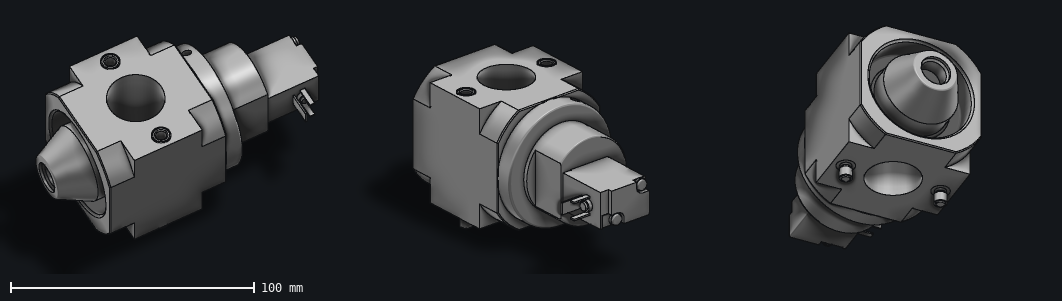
import cadquery as cq
import math

OVERALL_LENGTH = 122.0

BLOCK_SIZE = 55.0
BLOCK_CHAMFER = 0.5
PORT_FACE_WIDTH = 32.0
PASSAGE_DIAMETER = 24.0

RECESS_DIAMETER = 46.4
RECESS_DEPTH = 11.0
RECESS_FILLET = 1.0
CONE_BASE_DIAMETER = 33.8
CONE_ROOT_FILLET = 1.1
CONE_TIP_DIAMETER = 19.5
CONE_TIP_FILLET = 0.9
CONE_PROJECTION = 14.4
CONE_START_DEPTH = 0.4
TIP_BORE_DIAMETER = 11.5
TIP_BORE_DEPTH = 8.5
TIP_MOUTH_DIAMETER = 13.3
TIP_MOUTH_DEPTH = 1.3

PIN_SPACING = 43.0
PIN_DIAMETER = 8.0
PIN_TOP_DIAMETER = 7.0
PIN_SOCKET_DIAMETER = 4.5
PIN_SOCKET_MOUTH = 5.5
PIN_SOCKET_DEPTH = 6.1
PIN_SOCKET_ANGLE = 118.0
PIN_SHOULDER_DIAMETER = 5.0
PIN_NECK_DIAMETER = 3.7
PIN_NECK_LENGTH = 0.7
PIN_NECK_TAPER = 0.6
PIN_COLLAR_DIAMETER = 5.5
PIN_TIP_DIAMETER = 4.1
PIN_END_DIAMETER = 3.7
PIN_TIP_LENGTH = 0.6
PIN_PROJECTION = 6.8

FLANGE_THICKNESS = 7.8
FLANGE_FILLET = 1.0
TOMMY_HOLE_DIAMETER = 4.0
TOMMY_HOLE_DEPTH = 9.8
TOMMY_HOLE_OFFSET = 2.9
TOMMY_HOLE_ANGLE = 25.0
DRUM_DIAMETER = 40.0
DRUM_LENGTH = 18.4
DRUM_FILLET = 0.7
DRUM_FLAT_OFFSET = 15.4
DRUM_FOOT_LENGTH = 2.0

COIL_WIDTH = 20.3
COIL_HEIGHT = 17.0
COIL_FILLET = 1.0
PLATE_THICKNESS = 4.4
PLATE_END_STEP = 2.0
PLATE_GAP = 0.4
SCREW_POCKET_DIAMETER = 6.6
SCREW_POCKET_DEPTH = 2.5
SCREW_X = 6.7
SCREW_Z = 5.9
WASHER_DIAMETER = 5.5
WASHER_THICKNESS = 1.1
SCREW_HEAD_DIAMETER = 5.0
SCREW_HEAD_LENGTH = 1.2
SCREW_HEAD_FILLET = 0.5

STUD_Y = 70.4
STUD_SECTIONS = [(5.4, 1.8), (3.8, 2.9)]
PRONG_WIDTH = 2.5
PRONG_THICKNESS = 0.7
PRONG_REACH = 8.5
PRONG_SPACING = 7.8
BLADE_Y = 66.2
BLADE_REACH = 10.7
BLADE_THICKNESS = 0.7
BLADE_WIDTH = 5.5

FRONT_Y = -BLOCK_SIZE / 2
TIP_Y = FRONT_Y - CONE_PROJECTION
FLANGE_Y = BLOCK_SIZE / 2
DRUM_Y = FLANGE_Y + FLANGE_THICKNESS
COIL_Y = DRUM_Y + DRUM_LENGTH
COIL_END_Y = TIP_Y + OVERALL_LENGTH
PLATE_X = COIL_WIDTH / 2 + PLATE_THICKNESS


def cylinder_y(diameter, start, end):
    return cq.Workplane("XZ", origin=(0, start, 0)).circle(diameter / 2).extrude(start - end)


def cylinder_x(diameter, start, end):
    return cq.Workplane("YZ", origin=(start, 0, 0)).circle(diameter / 2).extrude(end - start)


def box(x_range, y_range, z_range):
    sizes = [high - low for low, high in (x_range, y_range, z_range)]
    corner = (x_range[0], y_range[0], z_range[0])
    return cq.Workplane("XY", origin=corner).box(*sizes, centered=False)


def make_block_body():
    """Cube whose edges along Y are rounded at both ends and stay square around the passage."""
    corner_radius = math.hypot(BLOCK_SIZE / 2, PORT_FACE_WIDTH / 2)
    cube = cq.Workplane("XY").box(BLOCK_SIZE, BLOCK_SIZE, BLOCK_SIZE)
    rounded = cube.intersect(cylinder_y(2 * corner_radius, FRONT_Y, FLANGE_Y))
    rounded = rounded.faces("<Y or >Y").edges().chamfer(BLOCK_CHAMFER)
    square_middle = cq.Workplane("XY").box(BLOCK_SIZE, PORT_FACE_WIDTH, BLOCK_SIZE)
    return rounded.union(square_middle)


def make_recess():
    """Revolved cavity with a rounded rim and a filleted floor."""
    floor_y = FRONT_Y + RECESS_DEPTH
    radius = RECESS_DIAMETER / 2
    profile = (
        cq.Workplane("XY")
        .moveTo(0, FRONT_Y)
        .lineTo(radius + RECESS_FILLET, FRONT_Y)
        .radiusArc((radius, FRONT_Y + RECESS_FILLET), -RECESS_FILLET)
        .lineTo(radius, floor_y - RECESS_FILLET)
        .radiusArc((radius - RECESS_FILLET, floor_y), -RECESS_FILLET)
        .lineTo(0, floor_y)
        .close()
    )
    return profile.revolve(360, (0, 0, 0), (0, 1, 0))


def make_cone():
    """Revolved nose with a filleted root, a rounded tip and a blind stepped bore."""
    floor_y = FRONT_Y + RECESS_DEPTH
    bore_radius = TIP_BORE_DIAMETER / 2
    base_radius = CONE_BASE_DIAMETER / 2
    mouth_radius = TIP_MOUTH_DIAMETER / 2
    root_y = floor_y - CONE_ROOT_FILLET
    profile = (
        cq.Workplane("XY")
        .moveTo(0, TIP_Y + TIP_BORE_DEPTH)
        .lineTo(bore_radius, TIP_Y + TIP_BORE_DEPTH)
        .lineTo(bore_radius, TIP_Y + TIP_MOUTH_DEPTH + mouth_radius - bore_radius)
        .lineTo(mouth_radius, TIP_Y + TIP_MOUTH_DEPTH)
        .lineTo(mouth_radius, TIP_Y)
        .lineTo(CONE_TIP_DIAMETER / 2, TIP_Y)
        .lineTo(base_radius, FRONT_Y + CONE_START_DEPTH)
        .lineTo(base_radius, root_y)
        .radiusArc((base_radius + CONE_ROOT_FILLET, floor_y), -CONE_ROOT_FILLET)
        .lineTo(0, floor_y)
        .close()
    )
    cone = profile.revolve(360, (0, 0, 0), (0, 1, 0))
    tip_edge = cq.selectors.RadiusNthSelector(-1)
    return cone.faces("<Y").edges(tip_edge).fillet(CONE_TIP_FILLET)


def make_block():
    block = make_block_body().cut(make_recess()).union(make_cone())
    passage = cq.Workplane("XY").circle(PASSAGE_DIAMETER / 2).extrude(BLOCK_SIZE, both=True)
    block = block.cut(passage)
    for side in (-1, 1):
        hole = cq.Workplane("XY").circle(PIN_DIAMETER / 2).extrude(BLOCK_SIZE, both=True)
        block = block.cut(hole.translate((side * PIN_SPACING / 2, 0, 0)))
    return block


def make_pin(x):
    """Turned pin with a conical-bottomed socket on top and a necked collar below the block."""
    top = BLOCK_SIZE / 2
    bottom = -BLOCK_SIZE / 2
    socket_radius = PIN_SOCKET_DIAMETER / 2
    mouth_radius = PIN_SOCKET_MOUTH / 2
    pin_radius = PIN_DIAMETER / 2
    top_radius = PIN_TOP_DIAMETER / 2
    cone_depth = socket_radius / math.tan(math.radians(PIN_SOCKET_ANGLE / 2))
    neck_top = bottom - PIN_NECK_TAPER
    neck_bottom = neck_top - PIN_NECK_LENGTH
    collar_top = neck_bottom - PIN_NECK_TAPER
    end = bottom - PIN_PROJECTION
    profile = (
        cq.Workplane("XZ")
        .moveTo(0, top - PIN_SOCKET_DEPTH - cone_depth)
        .lineTo(socket_radius, top - PIN_SOCKET_DEPTH)
        .lineTo(socket_radius, top - (mouth_radius - socket_radius))
        .lineTo(mouth_radius, top)
        .lineTo(top_radius, top)
        .lineTo(pin_radius, top - (pin_radius - top_radius))
        .lineTo(pin_radius, bottom)
        .lineTo(PIN_SHOULDER_DIAMETER / 2, bottom)
        .lineTo(PIN_NECK_DIAMETER / 2, neck_top)
        .lineTo(PIN_NECK_DIAMETER / 2, neck_bottom)
        .lineTo(PIN_TIP_DIAMETER / 2, collar_top)
        .lineTo(PIN_COLLAR_DIAMETER / 2, collar_top)
        .lineTo(PIN_COLLAR_DIAMETER / 2, end + PIN_TIP_LENGTH)
        .lineTo(PIN_TIP_DIAMETER / 2, end + PIN_TIP_LENGTH)
        .lineTo(PIN_END_DIAMETER / 2, end)
        .lineTo(0, end)
        .close()
    )
    return profile.revolve(360, (0, 0, 0), (0, 1, 0)).translate((x, 0, 0))


def make_flange():
    flange = cylinder_y(BLOCK_SIZE, FLANGE_Y, DRUM_Y).faces(">Y").edges().fillet(FLANGE_FILLET)
    rim_radius = BLOCK_SIZE / 2
    hole = (
        cq.Workplane("XY", origin=(0, FLANGE_Y + TOMMY_HOLE_OFFSET, rim_radius - TOMMY_HOLE_DEPTH))
        .circle(TOMMY_HOLE_DIAMETER / 2)
        .extrude(2 * TOMMY_HOLE_DEPTH)
        .rotate((0, 0, 0), (0, 1, 0), -TOMMY_HOLE_ANGLE)
    )
    return flange.cut(hole)


def make_drum():
    radius = DRUM_DIAMETER / 2
    drum = cylinder_y(DRUM_DIAMETER, DRUM_Y, COIL_Y).faces(">Y").edges().fillet(DRUM_FILLET)
    beyond_flat = box(
        (DRUM_FLAT_OFFSET, DRUM_DIAMETER), (DRUM_Y + DRUM_FOOT_LENGTH, COIL_Y), (-radius, radius)
    )
    return drum.cut(beyond_flat)


def make_screw_pocket():
    """Round pocket in the back left top corner of the coil, open toward -X and +Z."""
    radius = SCREW_POCKET_DIAMETER / 2
    floor_y = COIL_END_Y - SCREW_POCKET_DEPTH
    length = (floor_y, COIL_END_Y)
    low_x, high_x = -SCREW_X - radius, -SCREW_X + radius
    low_z, high_z = SCREW_Z - radius, SCREW_Z + radius
    pocket = cylinder_y(SCREW_POCKET_DIAMETER, floor_y, COIL_END_Y).translate((-SCREW_X, 0, SCREW_Z))
    side_opening = box((low_x - radius, -SCREW_X), length, (low_z, high_z + radius))
    top_opening = box((-SCREW_X, high_x), length, (SCREW_Z, high_z + radius))
    return pocket.union(side_opening).union(top_opening)


def make_coil_screw():
    """Round screw head on a washer, standing on the floor of the pocket."""
    washer_y = COIL_END_Y - SCREW_POCKET_DEPTH
    head_y = washer_y + WASHER_THICKNESS
    washer = cylinder_y(WASHER_DIAMETER, washer_y, head_y)
    head = cylinder_y(SCREW_HEAD_DIAMETER, head_y, head_y + SCREW_HEAD_LENGTH)
    head = head.faces(">Y").edges().fillet(SCREW_HEAD_FILLET)
    return washer.union(head).translate((-SCREW_X, 0, SCREW_Z))


def make_coil():
    """Coil with a terminal plate on +X and screws in two diagonally opposite back corners."""
    half_width, half_height = COIL_WIDTH / 2, COIL_HEIGHT / 2
    height = (-half_height, half_height)
    coil = box((-half_width, half_width), (COIL_Y, COIL_END_Y), height)
    coil = coil.edges("|Y and <X").fillet(COIL_FILLET)
    plate = box((half_width, PLATE_X), (COIL_Y + PLATE_GAP, COIL_END_Y - PLATE_END_STEP), height)
    coil = coil.union(plate)

    screw = make_coil_screw()
    pocket = make_screw_pocket()
    for turn in (0, 180):
        coil = coil.cut(pocket.rotate((0, 0, 0), (0, 1, 0), turn))
        coil = coil.union(screw.rotate((0, 0, 0), (0, 1, 0), turn))
    return coil


def make_terminals():
    """Stepped stud between two flat prongs, and an earth blade beside them."""
    terminals = []
    for diameter, reach in STUD_SECTIONS:
        terminals.append(cylinder_x(diameter, PLATE_X, PLATE_X + reach).translate((0, STUD_Y, 0)))

    prong_y = (STUD_Y - PRONG_WIDTH / 2, STUD_Y + PRONG_WIDTH / 2)
    for side in (-1, 1):
        middle_z = side * PRONG_SPACING / 2
        prong_z = (middle_z - PRONG_THICKNESS / 2, middle_z + PRONG_THICKNESS / 2)
        terminals.append(box((PLATE_X, PLATE_X + PRONG_REACH), prong_y, prong_z))

    blade_y = (BLADE_Y - BLADE_THICKNESS / 2, BLADE_Y + BLADE_THICKNESS / 2)
    blade_z = (-BLADE_WIDTH / 2, BLADE_WIDTH / 2)
    terminals.append(box((PLATE_X, PLATE_X + BLADE_REACH), blade_y, blade_z))
    return terminals


def make_actuator():
    actuator = make_flange().union(make_drum()).union(make_coil())
    for terminal in make_terminals():
        actuator = actuator.union(terminal)
    return actuator


block = make_block()
actuator = make_actuator()
pins = [make_pin(side * PIN_SPACING / 2) for side in (-1, 1)]
result = cq.Compound.makeCompound([block.val(), actuator.val(), *[pin.val() for pin in pins]])